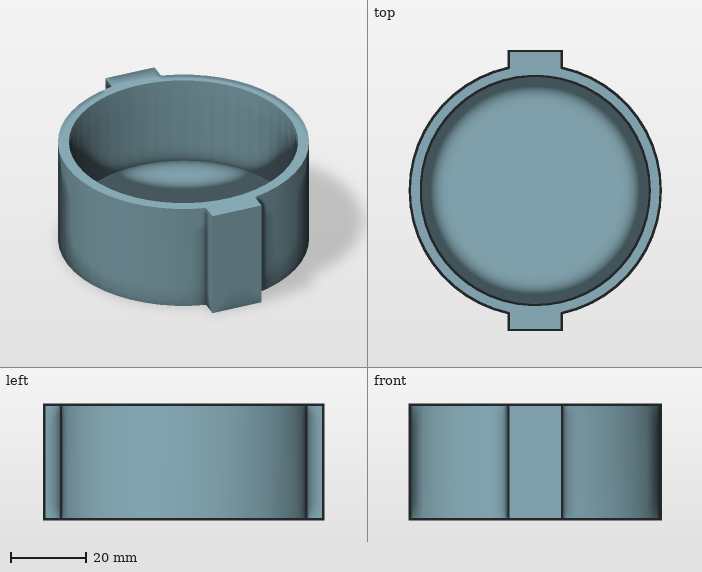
import cadquery as cq

outer_diameter = 66.8
inner_diameter = 60.95
height = 30.5
cavity_depth = 25.25
lug_span = 74.25
lug_width = 14.1

floor_thickness = height - cavity_depth


def make_body():
    """Solid cylinder with a full-height rectangular lug on the +Y and -Y sides."""
    cylinder = cq.Workplane("XY").circle(outer_diameter / 2).extrude(height)
    lugs = cq.Workplane("XY").rect(lug_width, lug_span).extrude(height)
    return cylinder.union(lugs)


def make_cavity():
    """Round cavity, open at the top, above the floor."""
    return (
        cq.Workplane("XY")
        .workplane(offset=floor_thickness)
        .circle(inner_diameter / 2)
        .extrude(cavity_depth)
    )


result = make_body().cut(make_cavity())